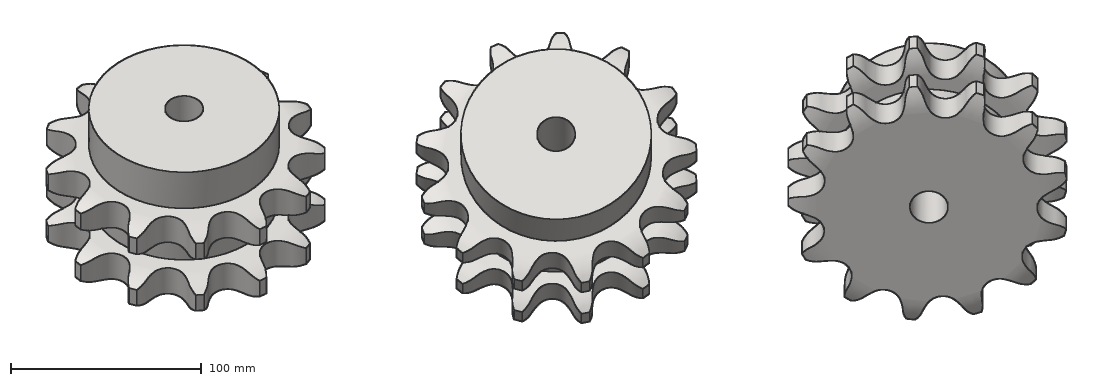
import cadquery as cq
import math

teeth = 13
pitch_diameter = 132.6
roller_diameter = 19.0
hub_diameter = 100.0
bore_diameter = 20.0
total_height = 80.0
plate_thickness = 18.3
strand_spacing = 36.4

shoulder_radius = 59.3
rim_drop = 3.5

half_tooth_angle = math.pi / teeth
pitch_radius = pitch_diameter / 2
chain_pitch = pitch_diameter * math.sin(half_tooth_angle)
outer_diameter = chain_pitch * (0.6 + 1 / math.tan(half_tooth_angle))
outer_radius = outer_diameter / 2
seat_radius = 0.5025 * roller_diameter
seat_angle = math.radians(35 + 60 / teeth)
working_angle = math.radians(18 - 56 / teeth)
tip_angle = math.radians(17 - 64 / teeth)
working_center_distance = 0.8 * roller_diameter
working_radius = working_center_distance + seat_radius
tip_center_distance = 1.4 * roller_diameter
tip_flank_radius = (
    working_center_distance * math.cos(working_angle)
    + tip_center_distance * math.cos(tip_angle)
    - working_radius
)
cutter_reach = outer_diameter


def on_circle(center, radius, angle):
    return (center[0] + radius * math.cos(angle), center[1] + radius * math.sin(angle))


def mirrored(point):
    return (-point[0], point[1])


def tooth_gap():
    """Cutter for one gap, symmetric about the +Y axis."""
    roller = (0, pitch_radius)
    working_center = on_circle(roller, working_center_distance, math.pi - seat_angle)
    tip_center = on_circle(roller, tip_center_distance, -half_tooth_angle)

    seat_bottom = on_circle(roller, seat_radius, -math.pi / 2)
    seat_end = on_circle(roller, seat_radius, -seat_angle)
    working_mid = on_circle(working_center, working_radius, working_angle / 2 - seat_angle)
    working_end = on_circle(working_center, working_radius, working_angle - seat_angle)

    flank_start_angle = math.pi + working_angle - seat_angle
    center_radius = math.hypot(*tip_center)
    corner_cosine = (outer_radius**2 - center_radius**2 - tip_flank_radius**2) / (
        2 * center_radius * tip_flank_radius
    )
    flank_end_angle = math.atan2(tip_center[1], tip_center[0]) + math.acos(corner_cosine)
    flank_start = on_circle(tip_center, tip_flank_radius, flank_start_angle)
    flank_mid = on_circle(tip_center, tip_flank_radius, (flank_start_angle + flank_end_angle) / 2)
    flank_end = on_circle(tip_center, tip_flank_radius, flank_end_angle)
    outside = (flank_end[0], cutter_reach)

    return (
        cq.Workplane("XY")
        .moveTo(*seat_end)
        .threePointArc(working_mid, working_end)
        .lineTo(*flank_start)
        .threePointArc(flank_mid, flank_end)
        .lineTo(*outside)
        .lineTo(*mirrored(outside))
        .lineTo(*mirrored(flank_end))
        .threePointArc(mirrored(flank_mid), mirrored(flank_start))
        .lineTo(*mirrored(working_end))
        .threePointArc(mirrored(working_mid), mirrored(seat_end))
        .threePointArc(seat_bottom, seat_end)
        .close()
        .extrude(plate_thickness)
    )


def rounded_disc():
    """Plate blank whose faces curve away tangentially beyond the shoulder."""
    crown_width = outer_radius - shoulder_radius
    crown_radius = (crown_width**2 + rim_drop**2) / (2 * rim_drop)
    crown_half_sweep = math.asin(crown_width / crown_radius) / 2
    crown_center = (shoulder_radius, plate_thickness - crown_radius)
    mid_radius, mid_height = on_circle(crown_center, crown_radius, math.pi / 2 - crown_half_sweep)

    return (
        cq.Workplane("XZ")
        .lineTo(shoulder_radius, 0)
        .threePointArc((mid_radius, plate_thickness - mid_height), (outer_radius, rim_drop))
        .lineTo(outer_radius, plate_thickness - rim_drop)
        .threePointArc((mid_radius, mid_height), (shoulder_radius, plate_thickness))
        .lineTo(0, plate_thickness)
        .close()
        .revolve(360, (0, 0, 0), (0, 1, 0))
    )


def toothed_plate():
    plate = rounded_disc()
    gap = tooth_gap()
    for index in range(teeth):
        plate = plate.cut(gap.rotate((0, 0, 0), (0, 0, 1), index * 360 / teeth))
    return plate


plate = toothed_plate()
hub = cq.Workplane("XY").circle(hub_diameter / 2).extrude(total_height)
bore = cq.Workplane("XY").circle(bore_diameter / 2).extrude(total_height)

result = hub.union(plate).union(plate.translate((0, 0, strand_spacing))).cut(bore)